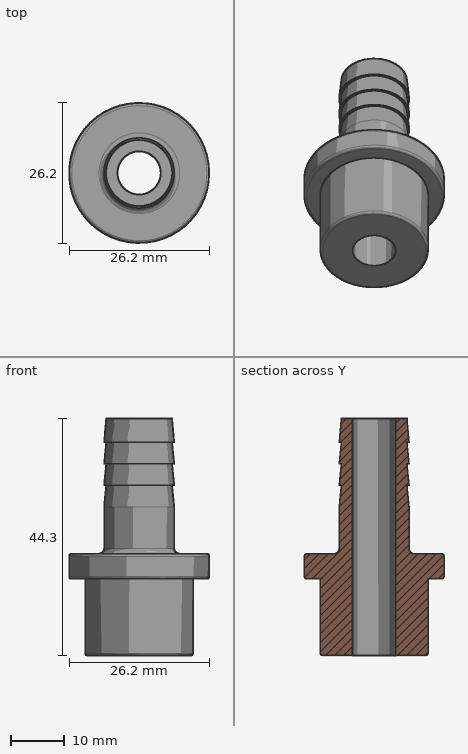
import cadquery as cq

total_height = 44.3
bore_diameter = 8.0

plug_diameter = 20.2
plug_height = 14.3

flange_diameter = 26.2
flange_thickness = 4.75
edge_radius = 0.5

stem_diameter = 13.1
barb_tip_diameter = 12.3
root_fillet_radius = 0.97
barb_count = 4
barb_pitch = 4.0
first_barb_z = 27.8

flange_top_z = plug_height + flange_thickness
stem_radius = stem_diameter / 2
barb_tip_radius = barb_tip_diameter / 2


def cylinder(diameter, bottom_z, height):
    return cq.Workplane("XY").workplane(offset=bottom_z).circle(diameter / 2).extrude(height)


def make_plug():
    return cylinder(plug_diameter, 0, plug_height).faces("<Z").edges().fillet(edge_radius)


def make_flange():
    return cylinder(flange_diameter, plug_height, flange_thickness).edges().fillet(edge_radius)


def make_stem():
    """Revolve the barbed stem; each barb tapers upward and ends in a step."""
    profile = (
        cq.Workplane("XZ")
        .moveTo(0, flange_top_z)
        .lineTo(stem_radius + root_fillet_radius, flange_top_z)
        .radiusArc((stem_radius, flange_top_z + root_fillet_radius), root_fillet_radius)
    )
    for barb in range(barb_count):
        base_z = first_barb_z + barb * barb_pitch
        end_z = total_height if barb == barb_count - 1 else base_z + barb_pitch
        profile = profile.lineTo(stem_radius, base_z).lineTo(barb_tip_radius, end_z)
    return profile.lineTo(0, total_height).close().revolve(360, (0, 0, 0), (0, 1, 0))


bore = cylinder(bore_diameter, 0, total_height)
result = make_plug().union(make_flange()).union(make_stem()).cut(bore)